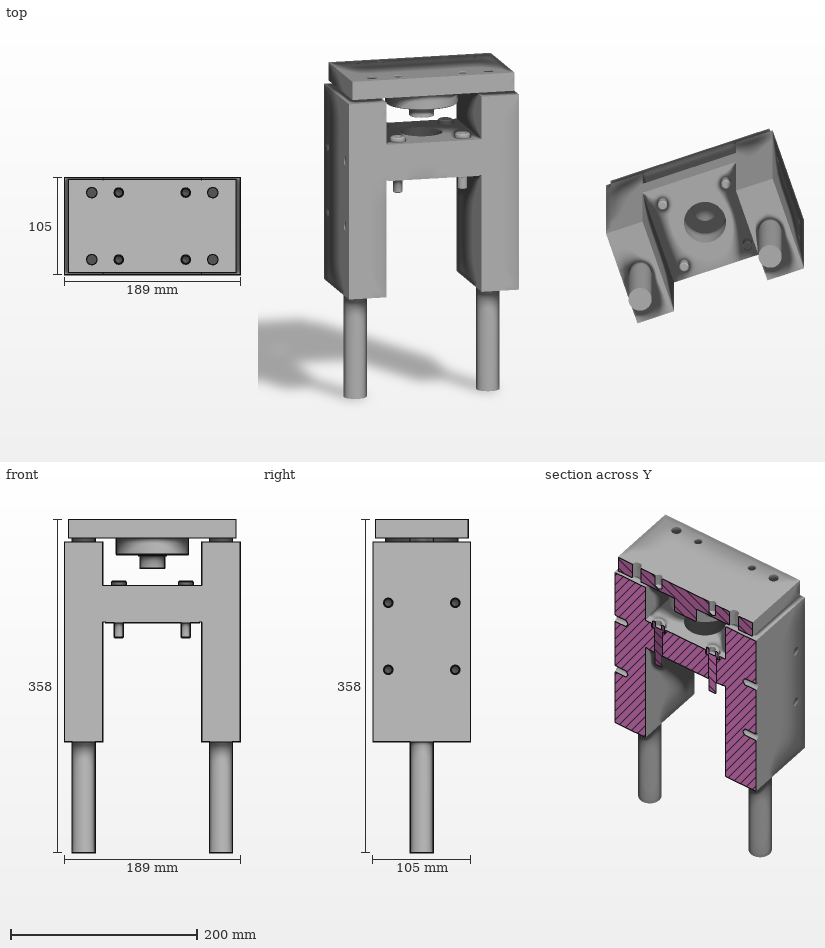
import cadquery as cq
import math


BOLT_SPACING = 72.0
BOLT_OFFSET = BOLT_SPACING / 2

PLATE_WIDTH = 180.0
PLATE_DEPTH = 100.0
PLATE_THICKNESS = 20.0
ROD_DIAMETER = 25.0
ROD_OFFSET = 73.7
ROD_END_Z = -358.0
DISC_DIAMETER = 78.0
DISC_HEIGHT = 18.3
COLLAR_DIAMETER = 30.0
COLLAR_HEIGHT = 1.0
HUB_DIAMETER = 27.0
HUB_HEIGHT = 14.3
DISC_CHAMFER = 1.0
HUB_EDGE_RADIUS = 0.7
CLEARANCE_HOLE_DIAMETER = 11.0
CLEARANCE_HOLE_SPACING = 130.0

HOUSING_WIDTH = 189.0
HOUSING_DEPTH = 105.0
HOUSING_HEIGHT = 214.8
YOKE_GAP = 4.0
LEG_THICKNESS = 41.5
CROSSBAR_DROP = 47.0
CROSSBAR_THICKNESS = 40.0
RELIEF_WIDTH = 2.5
RELIEF_HEIGHT = 0.7
CROSSBAR_BORE_DIAMETER = 45.0
SIDE_HOLE_DROP = 65.5

THREAD_DIAMETER = 10.0
CORE_DIAMETER = 8.2
TAPPED_DEPTH = 15.0
DRILL_POINT_ANGLE = 118.0

HEXAGON_SIDES = 6
HEAD_DIAMETER = 16.0
HEAD_HEIGHT = 10.0
HEAD_PROJECTION = 4.5
HEAD_CHAMFER = 1.0
SHANK_LENGTH = 51.2
SHANK_CHAMFER = 1.0
SOCKET_ACROSS_FLATS = 8.0
SOCKET_DEPTH = 7.0
COUNTERBORE_DIAMETER = 18.3

housing_top = -PLATE_THICKNESS - YOKE_GAP
housing_bottom = housing_top - HOUSING_HEIGHT
crossbar_top = housing_top - CROSSBAR_DROP
crossbar_bottom = crossbar_top - CROSSBAR_THICKNESS
opening_width = HOUSING_WIDTH - 2 * LEG_THICKNESS
head_seat = crossbar_top + HEAD_PROJECTION - HEAD_HEIGHT
bolt_points = [(sx * BOLT_OFFSET, sy * BOLT_OFFSET) for sx in (-1, 1) for sy in (-1, 1)]
rod_points = [(-ROD_OFFSET, 0), (ROD_OFFSET, 0)]


def block(width, depth, bottom, top):
    """Box centred on the Z axis between two heights."""
    return cq.Workplane("XY", origin=(0, 0, bottom)).rect(width, depth).extrude(top - bottom)


def cylinders(points, diameter, bottom, top):
    """Vertical cylinders at the given XY points between two heights."""
    plane = cq.Workplane("XY", origin=(0, 0, bottom))
    return plane.pushPoints(points).circle(diameter / 2).extrude(top - bottom)


def tapped_hole(mouth, direction):
    """Cutter for a blind tapped hole: lead-in chamfer, core bore and conical drill point."""
    thread_radius = THREAD_DIAMETER / 2
    core_radius = CORE_DIAMETER / 2
    lead_in = thread_radius - core_radius
    point_height = core_radius / math.tan(math.radians(DRILL_POINT_ANGLE / 2))
    core = cq.Solid.makeCylinder(core_radius, TAPPED_DEPTH, mouth, direction)
    chamfer = cq.Solid.makeCone(thread_radius, core_radius, lead_in, mouth, direction)
    point = cq.Solid.makeCone(core_radius, 0, point_height, mouth + direction * TAPPED_DEPTH, direction)
    return core.fuse(chamfer, point)


def make_housing():
    body = block(HOUSING_WIDTH, HOUSING_DEPTH, housing_bottom, housing_top)

    body = body.cut(block(opening_width, HOUSING_DEPTH, crossbar_top, housing_top))
    body = body.cut(block(opening_width, HOUSING_DEPTH, housing_bottom, crossbar_bottom))

    for side in (-1, 1):
        groove_x = side * (opening_width - RELIEF_WIDTH) / 2
        groove = block(RELIEF_WIDTH, HOUSING_DEPTH, crossbar_bottom, crossbar_bottom + RELIEF_HEIGHT)
        body = body.cut(groove.translate((groove_x, 0, 0)))

    body = body.cut(cylinders([(0, 0)], CROSSBAR_BORE_DIAMETER, crossbar_bottom, crossbar_top))
    body = body.cut(cylinders(rod_points, ROD_DIAMETER, housing_bottom, housing_top))
    body = body.cut(cylinders(bolt_points, THREAD_DIAMETER, crossbar_bottom, crossbar_top))
    body = body.cut(cylinders(bolt_points, COUNTERBORE_DIAMETER, head_seat, crossbar_top))

    upper_hole_z = housing_top - SIDE_HOLE_DROP
    for side in (-1, 1):
        for y in (-BOLT_OFFSET, BOLT_OFFSET):
            for z in (upper_hole_z, upper_hole_z - BOLT_SPACING):
                mouth = cq.Vector(side * HOUSING_WIDTH / 2, y, z)
                body = body.cut(cq.Workplane(tapped_hole(mouth, cq.Vector(-side, 0, 0))))
    return body


def make_yoke():
    plate_bottom = -PLATE_THICKNESS
    disc_bottom = plate_bottom - DISC_HEIGHT
    collar_bottom = disc_bottom - COLLAR_HEIGHT
    body = block(PLATE_WIDTH, PLATE_DEPTH, plate_bottom, 0)

    clearance_points = [
        (sx * CLEARANCE_HOLE_SPACING / 2, sy * BOLT_OFFSET) for sx in (-1, 1) for sy in (-1, 1)
    ]
    body = body.cut(cylinders(clearance_points, CLEARANCE_HOLE_DIAMETER, plate_bottom, 0))
    for x, y in bolt_points:
        body = body.cut(cq.Workplane(tapped_hole(cq.Vector(x, y, 0), cq.Vector(0, 0, -1))))

    disc = cylinders([(0, 0)], DISC_DIAMETER, disc_bottom, plate_bottom)
    body = body.union(disc.faces("<Z").chamfer(DISC_CHAMFER))
    body = body.union(cylinders([(0, 0)], COLLAR_DIAMETER, collar_bottom, disc_bottom))
    hub = cylinders([(0, 0)], HUB_DIAMETER, disc_bottom - HUB_HEIGHT, disc_bottom)
    body = body.union(hub.faces("<Z").fillet(HUB_EDGE_RADIUS))

    return body.union(cylinders(rod_points, ROD_DIAMETER, ROD_END_Z, plate_bottom))


def make_screw(x, y):
    """Socket head cap screw with its head seated in the crossbar."""
    head_top = head_seat + HEAD_HEIGHT
    head = cylinders([(x, y)], HEAD_DIAMETER, head_seat, head_top).faces(">Z").chamfer(HEAD_CHAMFER)
    shank = cylinders([(x, y)], THREAD_DIAMETER, head_seat - SHANK_LENGTH, head_seat)
    shank = shank.faces("<Z").chamfer(SHANK_CHAMFER)

    half_facet_angle = 180 / HEXAGON_SIDES
    across_corners = SOCKET_ACROSS_FLATS / math.cos(math.radians(half_facet_angle))
    socket_plane = cq.Workplane("XY", origin=(x, y, head_top)).transformed(rotate=(0, 0, half_facet_angle))
    socket = socket_plane.polygon(HEXAGON_SIDES, across_corners).extrude(-SOCKET_DEPTH)
    return head.union(shank).cut(socket)


housing = make_housing()
yoke = make_yoke()
screws = [make_screw(x, y) for x, y in bolt_points]

result = cq.Compound.makeCompound([housing.val(), yoke.val(), *[screw.val() for screw in screws]])